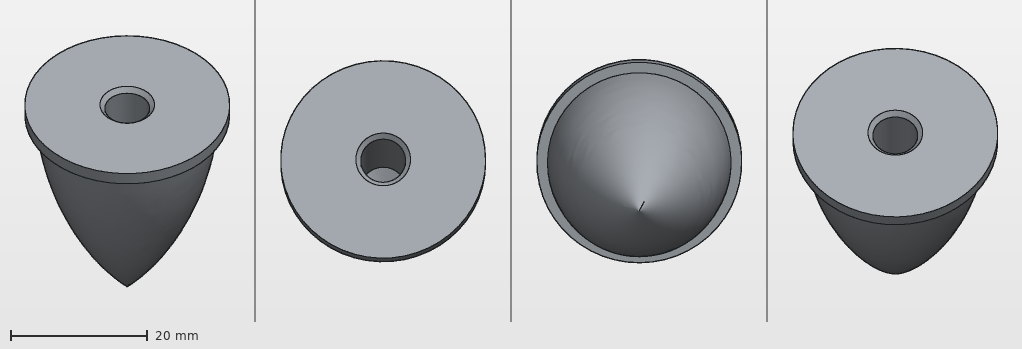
import cadquery as cq
import math

total_height = 36.0
flange_diameter = 30.0
flange_thickness = 2.0
neck_radius = 13.43
neck_height = 0.7

flank_radius = 10.5
flank_height = 19.0

hole_radius = 3.28
countersink_radius = 4.0
hole_depth = 16.0
drill_tip_angle = 118.0

flange_radius = flange_diameter / 2
flange_bottom = total_height - flange_thickness
neck_bottom = flange_bottom - neck_height


def make_body():
    """Revolve the flange, short cylindrical neck and arc-sided point."""
    profile = (
        cq.Workplane("XZ")
        .moveTo(0, 0)
        .threePointArc((flank_radius, flank_height), (neck_radius, neck_bottom))
        .lineTo(neck_radius, flange_bottom)
        .lineTo(flange_radius, flange_bottom)
        .lineTo(flange_radius, total_height)
        .lineTo(0, total_height)
        .close()
    )
    return profile.revolve(360, (0, 0, 0), (0, 1, 0))


def cut_hole(body):
    """Cut the countersunk blind hole into the flange face."""
    countersink_depth = countersink_radius - hole_radius
    drill_tip_depth = hole_radius / math.tan(math.radians(drill_tip_angle / 2))
    hole_bottom = total_height - hole_depth
    profile = (
        cq.Workplane("XZ")
        .moveTo(0, total_height)
        .lineTo(countersink_radius, total_height)
        .lineTo(hole_radius, total_height - countersink_depth)
        .lineTo(hole_radius, hole_bottom)
        .lineTo(0, hole_bottom - drill_tip_depth)
        .close()
    )
    return body.cut(profile.revolve(360, (0, 0, 0), (0, 1, 0)))


result = cut_hole(make_body())